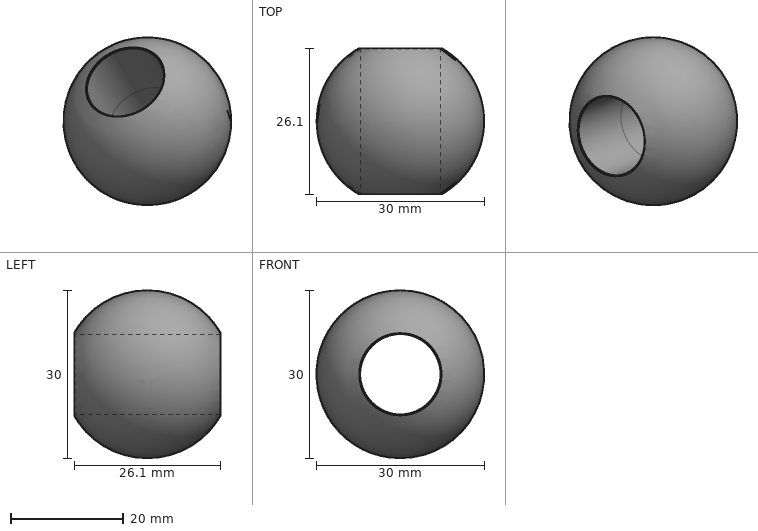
import cadquery as cq

ball_diameter = 30.0
bore_diameter = 14.3
rim_chamfer = 0.25


def ball():
    """Full ball centred on the origin, with its poles on Z and its seam facing -X."""
    return cq.Workplane("XY").sphere(ball_diameter / 2).rotate((0, 0, 0), (0, 0, 1), 180)


def bore():
    """Cylinder along Y that passes right through the ball."""
    return cq.Workplane("XZ").circle(bore_diameter / 2).extrude(ball_diameter / 2, both=True)


def chamfer_rims(body):
    """Break the sharp circular edges where the bore meets the ball."""
    return body.edges("<Y or >Y").chamfer(rim_chamfer)


result = chamfer_rims(ball().cut(bore()))